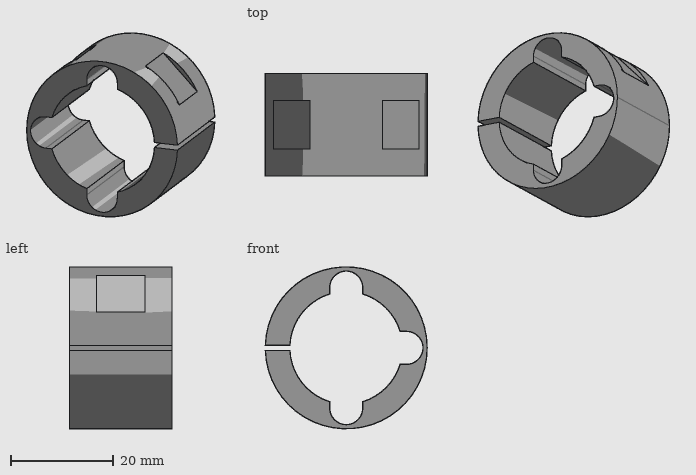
import cadquery as cq

outer_diameter = 31.75
length = 20.13
bore_radius = 11.02

groove_radius = 3.2
groove_reach = 15.02

slit_width = 1.02

flat_distance = 15.05
flat_length = 9.52
flat_angles = (45, -45)

outer_radius = outer_diameter / 2
back_centre = (0, length / 2, 0)


def ring():
    """Plain tube along Y."""
    return (
        cq.Workplane("XZ", origin=back_centre)
        .circle(outer_radius)
        .circle(bore_radius)
        .extrude(length)
    )


def groove(angle):
    """Cutter for one groove, pointing to +Z before turning about Y."""
    centre_height = groove_reach - groove_radius
    return (
        cq.Workplane("XZ", origin=back_centre)
        .moveTo(-groove_radius, 0)
        .lineTo(-groove_radius, centre_height)
        .threePointArc((0, groove_reach), (groove_radius, centre_height))
        .lineTo(groove_radius, 0)
        .close()
        .extrude(length)
        .rotate((0, 0, 0), (0, 1, 0), angle)
    )


def slit():
    """Cutter that opens the ring on its -X side."""
    return cq.Workplane("XY").box(outer_radius, length, slit_width).translate((-outer_radius, 0, 0))


def flat(angle):
    """Cutter for one flat, facing +Z before turning about Y."""
    return (
        cq.Workplane("XY", origin=(0, 0, flat_distance))
        .rect(outer_diameter, flat_length)
        .extrude(outer_radius)
        .rotate((0, 0, 0), (0, 1, 0), angle)
    )


result = ring().cut(slit())

for groove_angle in (0, 90, 180):
    result = result.cut(groove(groove_angle))

for flat_angle in flat_angles:
    result = result.cut(flat(flat_angle))